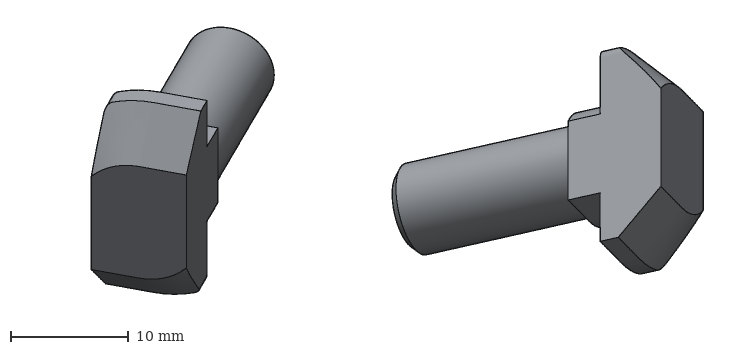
import cadquery as cq
import math


width = 8.5
head_length = 19.4
head_thickness = 5.7
head_chamfer = 4.0
head_corner_fillet = 1.0
neck_length = 10.0
neck_thickness = 3.0
shank_diameter = 8.0
shank_length = 17.0
shank_chamfer = 0.7

half_width = width / 2
neck_end = head_thickness + neck_thickness


def upper_half_plate(length, y_start, thickness):
    """Plate above the bolt axis: square corner at +X, corner rounded about the axis at -X."""
    radius = length / 2
    corner_z = math.sqrt(radius**2 - half_width**2)
    middle_angle = (math.pi / 2 + math.atan2(corner_z, -half_width)) / 2
    arc_middle = (radius * math.cos(middle_angle), radius * math.sin(middle_angle))
    outline = (
        cq.Workplane("XZ", origin=(0, y_start, 0))
        .moveTo(-half_width, 0)
        .lineTo(half_width, 0)
        .lineTo(half_width, radius)
        .lineTo(0, radius)
        .threePointArc(arc_middle, (-half_width, corner_z))
        .close()
    )
    return outline.extrude(-thickness)


def with_opposite_half(upper_half):
    """Add a copy of the upper half turned 180 degrees about the bolt axis."""
    return upper_half.union(upper_half.rotate((0, 0, 0), (0, 1, 0), 180))


def head_half_profile():
    """Closed (Y, Z) section of the upper head half, with its chamfer."""
    radius = head_length / 2
    return (
        cq.Workplane("YZ")
        .moveTo(0, 0)
        .lineTo(0, radius - head_chamfer)
        .lineTo(head_chamfer, radius)
        .lineTo(head_thickness, radius)
        .lineTo(head_thickness, 0)
        .close()
    )


def chamfer_envelope():
    """Limits of the chamfered upper head half: flat slope at +X, cone about the bolt axis at -X."""
    flat_side = head_half_profile().extrude(half_width)
    conical_side = head_half_profile().revolve(90, (0, 0, 0), (-1, 0, 0))
    return flat_side.union(conical_side)


def make_head():
    upper_half = upper_half_plate(head_length, 0, head_thickness)
    rounded_corner = upper_half.edges("|Y and <X").edges(">Z")
    upper_half = rounded_corner.fillet(head_corner_fillet)
    return with_opposite_half(upper_half.intersect(chamfer_envelope()))


def make_neck():
    return with_opposite_half(upper_half_plate(neck_length, head_thickness, neck_thickness))


def make_shank():
    shank = cq.Workplane("XZ", origin=(0, neck_end, 0)).circle(shank_diameter / 2).extrude(-shank_length)
    return shank.faces(">Y").chamfer(shank_chamfer)


result = make_head().union(make_neck()).union(make_shank())